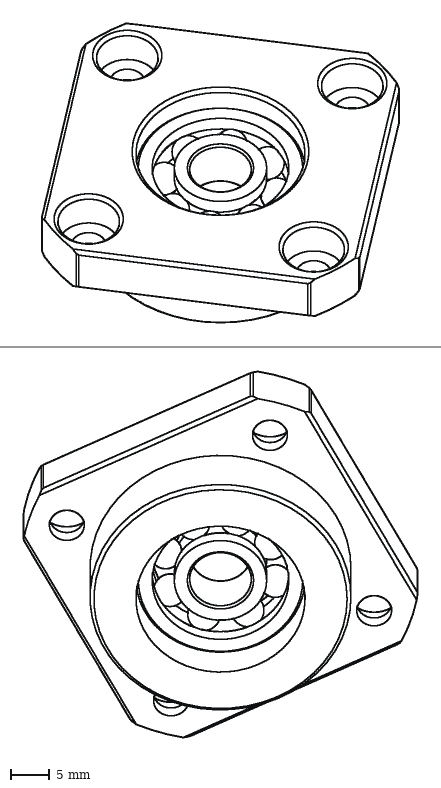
import cadquery as cq

flange_diameter = 52.0
flange_width = 42.0
flange_thickness = 7.0
flat_angle = 45
edge_chamfer = 0.5
corner_chamfer = 0.2

total_height = 15.0
boss_diameter = 33.95
boss_height = total_height - flange_thickness

screw_count = 4
screw_circle_diameter = 42.0
screw_hole_diameter = 4.5
counterbore_diameter = 8.0
counterbore_depth = 5.0

bearing_diameter = 22.0
bearing_bore = 8.0
bearing_width = 7.0
bearing_recess = 3.15
inner_ring_diameter = 12.0
outer_ring_bore = 17.8
ring_chamfer = 0.3
ball_diameter = 4.25
raceway_diameter = 4.15
ball_count = 8
ball_start_angle = -1.1
pitch_radius = (inner_ring_diameter + outer_ring_bore) / 4
bearing_bottom = total_height - bearing_recess - bearing_width
bearing_middle = bearing_bottom + bearing_width / 2


def make_flange():
    """Disc cut to a square, with chamfers around each flat, resting on Z = 0."""
    disc = cq.Workplane().circle(flange_diameter / 2).extrude(flange_thickness)
    square = cq.Workplane().rect(flange_width, flange_width).extrude(flange_thickness)
    chamfered_square = square.faces("<Z or >Z").edges().chamfer(edge_chamfer)
    flange = disc.intersect(square).edges("|Z").chamfer(corner_chamfer)
    flange = flange.intersect(chamfered_square)
    return flange.rotate((0, 0, 0), (0, 0, 1), flat_angle)


def chamfered_hole(diameter, depth):
    """Cutter for a hole of this depth in the top face, flared at its mouth."""
    hole = cq.Workplane().workplane(offset=total_height - depth).circle(diameter / 2).extrude(depth)
    mouth_radius = diameter / 2 + edge_chamfer
    mouth = cq.Solid.makeCone(diameter / 2, mouth_radius, edge_chamfer)
    return hole.union(cq.Workplane(mouth.translate(cq.Vector(0, 0, total_height - edge_chamfer))))


def make_screw_cutter():
    """Cutter for one counterbored screw hole on the +X axis."""
    clearance = cq.Workplane().circle(screw_hole_diameter / 2).extrude(total_height)
    cutter = chamfered_hole(counterbore_diameter, counterbore_depth).union(clearance)
    return cutter.translate((screw_circle_diameter / 2, 0, 0))


def make_housing():
    """Flange and boss with a straight bearing bore and the screw holes."""
    boss = cq.Workplane().circle(boss_diameter / 2).extrude(boss_height)
    boss = boss.faces("<Z").edges().chamfer(edge_chamfer)
    housing = make_flange().translate((0, 0, boss_height)).union(boss)
    housing = housing.cut(chamfered_hole(bearing_diameter, total_height))
    screw_cutter = make_screw_cutter()
    for index in range(screw_count):
        angle = index * 360 / screw_count
        housing = housing.cut(screw_cutter.rotate((0, 0, 0), (0, 0, 1), angle))
    return housing


def make_ring(outer_diameter, inner_diameter):
    """Plain bearing ring."""
    base = cq.Workplane().workplane(offset=bearing_bottom)
    return base.circle(outer_diameter / 2).circle(inner_diameter / 2).extrude(bearing_width)


def make_bearing():
    """Grooved inner and outer rings, joined by balls that sink slightly into both grooves."""
    outer_ring = make_ring(bearing_diameter, outer_ring_bore)
    outer_ring = outer_ring.faces("<Z or >Z").edges(cq.selectors.RadiusNthSelector(-1)).chamfer(ring_chamfer)
    inner_ring = make_ring(inner_ring_diameter, bearing_bore)
    inner_ring = inner_ring.faces("<Z or >Z").edges(cq.selectors.RadiusNthSelector(0)).chamfer(ring_chamfer)
    raceway = cq.Workplane(cq.Solid.makeTorus(pitch_radius, raceway_diameter / 2))
    raceway = raceway.translate((0, 0, bearing_middle))
    bearing = outer_ring.add(inner_ring).combine().cut(raceway)
    ball = cq.Workplane().sphere(ball_diameter / 2).translate((pitch_radius, 0, bearing_middle))
    for index in range(ball_count):
        angle = ball_start_angle + index * 360 / ball_count
        bearing = bearing.union(ball.rotate((0, 0, 0), (0, 0, 1), angle))
    return bearing


housing = make_housing()
bearing = make_bearing()
result = cq.Compound.makeCompound([housing.solids().val(), bearing.solids().val()])